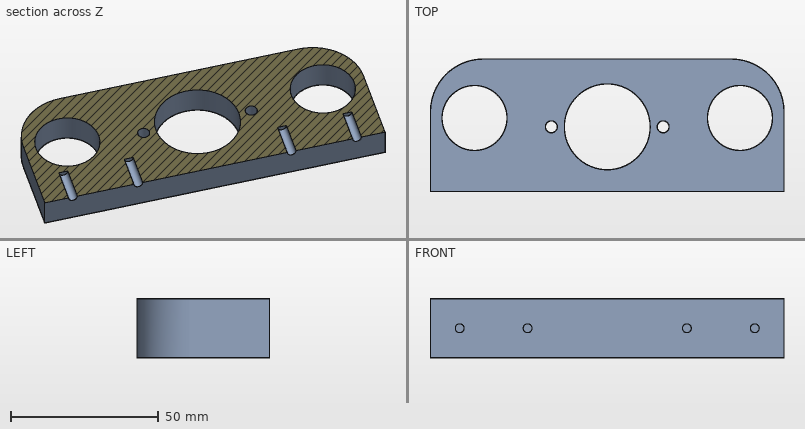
import cadquery as cq

length = 120.0
depth = 45.0
height = 20.0
corner_radius = 18.0

center_bore_diameter = 29.0
center_bore_y = 22.0
side_bore_diameter = 22.0
side_bore_x = 45.0
side_bore_y = 25.0
small_hole_diameter = 4.0
small_hole_x = 19.0

mounting_hole_diameter = 3.0
mounting_hole_depth = 12.0
mounting_hole_inner_x = 27.0
mounting_hole_outer_x = 50.0


def make_block():
    """Block centred on X, with its front face on Y = 0 and its base on Z = 0."""
    block = cq.Workplane("XY").box(length, depth, height, centered=(True, False, False))
    return block.edges("|Z and >Y").fillet(corner_radius)


def vertical_holes(diameter, points):
    """Cutters through the full height."""
    return cq.Workplane("XY").pushPoints(points).circle(diameter / 2).extrude(height)


def mounting_holes():
    """Cutters running from the front face into the block."""
    xs = [
        side * x
        for side in (-1, 1)
        for x in (mounting_hole_inner_x, mounting_hole_outer_x)
    ]
    return (
        cq.Workplane("XZ")
        .pushPoints([(x, height / 2) for x in xs])
        .circle(mounting_hole_diameter / 2)
        .extrude(-mounting_hole_depth)
    )


def mirrored_pair(x, y):
    return [(-x, y), (x, y)]


result = (
    make_block()
    .cut(vertical_holes(center_bore_diameter, [(0, center_bore_y)]))
    .cut(vertical_holes(side_bore_diameter, mirrored_pair(side_bore_x, side_bore_y)))
    .cut(vertical_holes(small_hole_diameter, mirrored_pair(small_hole_x, center_bore_y)))
    .cut(mounting_holes())
)